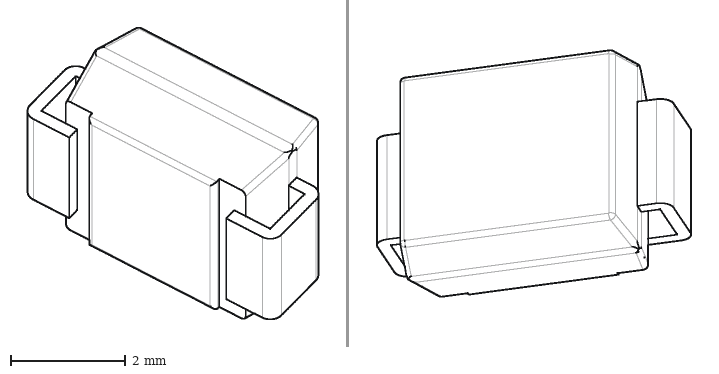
import cadquery as cq
import math

length = 5.4
depth = 2.44
back_y = depth / 2
front_y = -depth / 2

body_length = 4.225
body_height = 3.6
draft_slope = math.tan(math.radians(10))
edge_radius = 0.095
pad_width = 2.73
pad_recess = 0.09
pad_y = front_y + pad_recess

lead_thickness = 0.245
lead_height = 2.035
foot_length = 1.015
bend_radius = 0.245
lead_back_y = 0.3
foot_back_y = front_y + lead_thickness

band_back_y = lead_back_y
band_front_y = lead_back_y - lead_thickness


def section(y, inset):
    """Rectangular body outline at depth y, drawn in by inset on every side."""
    return (
        cq.Workplane("XZ", origin=(0, y, 0))
        .rect(body_length - 2 * inset, body_height - 2 * inset)
        .wires()
        .val()
    )


def drafted_block(wide_y, band_y, narrow_y):
    """Frustum of full body size at band_y, with its sloping corner edges rounded."""
    wide_inset = -abs(wide_y - band_y) * draft_slope
    narrow_inset = abs(narrow_y - band_y) * draft_slope
    wires = [section(wide_y, wide_inset), section(narrow_y, narrow_inset)]
    block = cq.Workplane(cq.Solid.makeLoft(wires, True))
    return block.edges("not(#Y)").fillet(edge_radius)


def body():
    """Intersect the two opposed drafts and the band, so the roundings fade out in the band."""
    back_part = drafted_block(pad_y, band_back_y, back_y).faces(">Y").edges().fillet(edge_radius)
    front_part = drafted_block(back_y, band_front_y, pad_y)
    envelope = cq.Workplane().box(body_length, 2 * depth, body_height)
    solid = envelope.intersect(back_part).intersect(front_part)

    step_length = (length - pad_width) / 2
    step_center_x = (length + pad_width) / 4
    for side in (-1, 1):
        step = (
            cq.Workplane()
            .box(step_length, depth, body_height)
            .translate((side * step_center_x, foot_back_y - depth / 2, 0))
        )
        solid = solid.cut(step)
    return solid.faces("<Y").edges().fillet(edge_radius)


def right_lead():
    """C-shaped strip with rounded outer bends and sharp inner corners."""
    outer_x = length / 2
    inner_x = outer_x - lead_thickness
    foot_end_x = outer_x - foot_length
    arm_end_x = foot_end_x
    outline = [
        (arm_end_x, lead_back_y),
        (outer_x, lead_back_y),
        (outer_x, front_y),
        (foot_end_x, front_y),
        (foot_end_x, foot_back_y),
        (inner_x, foot_back_y),
        (inner_x, band_front_y),
        (arm_end_x, band_front_y),
    ]
    strip = cq.Workplane().polyline(outline).close().extrude(lead_height / 2, both=True)
    return strip.edges("|Z and >X").fillet(bend_radius)


lead = right_lead()
result = body().union(lead).union(lead.mirror("YZ"))